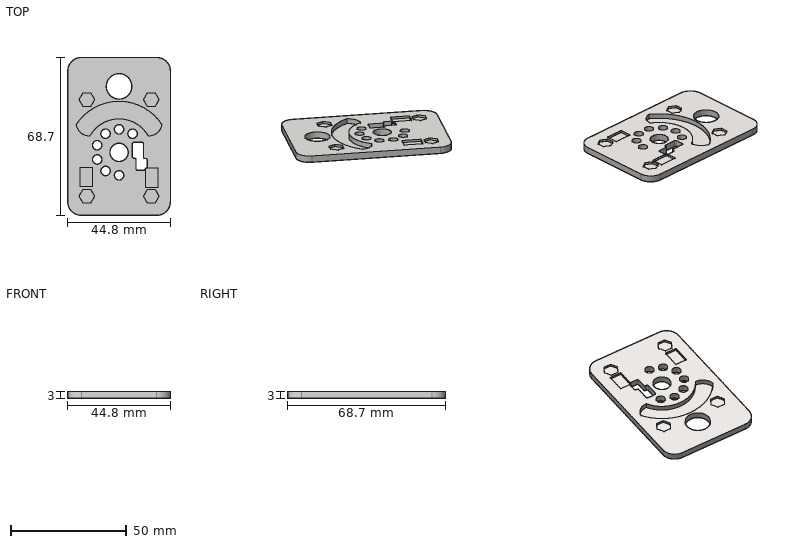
import cadquery as cq
import math

PLATE_WIDTH = 44.76
PLATE_LENGTH = 68.73
PLATE_THICKNESS = 3.0
CORNER_RADIUS = 6.0

DIAL_CENTRE_Y = -6.93
DIAL_HOLE_DIAMETER = 7.85
RING_HOLE_DIAMETER = 4.0
RING_RADIUS = 10.0
RING_HOLE_COUNT = 7
RING_START_ANGLE = 54.0
RING_STEP_ANGLE = 36.0

LARGE_HOLE_DIAMETER = 11.0
LARGE_HOLE_Y = 21.75

ARC_OUTER_RADIUS = 22.2
ARC_INNER_RADIUS = 14.55
ARC_OUTER_END_ANGLE = 33.0
ARC_INNER_END_ANGLE = 29.2
ARC_END_BULGE = 1.45
ARC_DEPTH = 2.25

HEX_ACROSS_FLATS = 5.9
HEX_SPACING_X = 28.0
HEX_SPACING_Y = 42.0
HEX_PATTERN_CENTRE_Y = -5.0
HEX_DEPTH = 1.0

RECESS_WIDTH = 5.5
RECESS_LENGTH = 8.4
RECESS_CENTRES = [(-14.2, -17.65), (14.2, -17.95)]
RECESS_DEPTH = 1.0

SLOT_WIDTH = 4.77
SLOT_LEFT = 5.8
SLOT_TOP = -2.6
SLOT_BOTTOM = -14.65
SLOT_SHIFT = 1.6
SLOT_LEFT_STEP_Y = -9.45
SLOT_RIGHT_STEP_Y = -9.65
SLOT_CORNER_RADIUS = 0.6
SLOT_CHAMFER = 1.3


def make_plate():
    plate = cq.Workplane("XY").box(PLATE_WIDTH, PLATE_LENGTH, PLATE_THICKNESS, centered=(True, True, False))
    return plate.edges("|Z").fillet(CORNER_RADIUS)


def pocket_floor(depth):
    """Workplane at the floor of a pocket of the given depth."""
    return cq.Workplane("XY").workplane(offset=PLATE_THICKNESS - depth)


def dial_point(radius, angle):
    """Point at a polar position about the dial centre."""
    turn = math.radians(angle)
    return (radius * math.cos(turn), DIAL_CENTRE_Y + radius * math.sin(turn))


def round_holes():
    ring_points = [
        dial_point(RING_RADIUS, RING_START_ANGLE + index * RING_STEP_ANGLE)
        for index in range(RING_HOLE_COUNT)
    ]
    base = cq.Workplane("XY")
    ring = base.pushPoints(ring_points).circle(RING_HOLE_DIAMETER / 2).extrude(PLATE_THICKNESS)
    dial = base.center(0, DIAL_CENTRE_Y).circle(DIAL_HOLE_DIAMETER / 2).extrude(PLATE_THICKNESS)
    large = base.center(0, LARGE_HOLE_Y).circle(LARGE_HOLE_DIAMETER / 2).extrude(PLATE_THICKNESS)
    return ring.union(dial).union(large)


def arc_pocket():
    outer_right = dial_point(ARC_OUTER_RADIUS, ARC_OUTER_END_ANGLE)
    outer_left = dial_point(ARC_OUTER_RADIUS, 180 - ARC_OUTER_END_ANGLE)
    inner_right = dial_point(ARC_INNER_RADIUS, ARC_INNER_END_ANGLE)
    inner_left = dial_point(ARC_INNER_RADIUS, 180 - ARC_INNER_END_ANGLE)
    return (
        pocket_floor(ARC_DEPTH)
        .moveTo(*outer_right)
        .threePointArc(dial_point(ARC_OUTER_RADIUS, 90), outer_left)
        .sagittaArc(inner_left, -ARC_END_BULGE)
        .threePointArc(dial_point(ARC_INNER_RADIUS, 90), inner_right)
        .sagittaArc(outer_right, -ARC_END_BULGE)
        .close()
        .extrude(ARC_DEPTH)
    )


def hex_pockets():
    across_corners = HEX_ACROSS_FLATS / math.cos(math.pi / 6)
    return (
        pocket_floor(HEX_DEPTH)
        .center(0, HEX_PATTERN_CENTRE_Y)
        .rarray(HEX_SPACING_X, HEX_SPACING_Y, 2, 2)
        .polygon(6, across_corners)
        .extrude(HEX_DEPTH)
    )


def rectangular_pockets():
    return (
        pocket_floor(RECESS_DEPTH)
        .pushPoints(RECESS_CENTRES)
        .rect(RECESS_WIDTH, RECESS_LENGTH)
        .extrude(RECESS_DEPTH)
    )


def stepped_slot():
    upper_right = SLOT_LEFT + SLOT_WIDTH
    lower_left = SLOT_LEFT + SLOT_SHIFT
    lower_right = upper_right + SLOT_SHIFT
    slot = (
        cq.Workplane("XY")
        .moveTo(SLOT_LEFT, SLOT_TOP)
        .lineTo(upper_right, SLOT_TOP)
        .lineTo(upper_right, SLOT_RIGHT_STEP_Y)
        .lineTo(lower_right, SLOT_RIGHT_STEP_Y)
        .lineTo(lower_right, SLOT_BOTTOM)
        .lineTo(lower_left, SLOT_BOTTOM)
        .lineTo(lower_left, SLOT_LEFT_STEP_Y)
        .lineTo(SLOT_LEFT, SLOT_LEFT_STEP_Y)
        .close()
        .extrude(PLATE_THICKNESS)
    )
    chamfered_corner = cq.selectors.NearestToPointSelector((lower_right, SLOT_BOTTOM, PLATE_THICKNESS / 2))
    rounded_corners = cq.selectors.SubtractSelector(cq.selectors.StringSyntaxSelector("|Z"), chamfered_corner)
    return slot.edges(rounded_corners).fillet(SLOT_CORNER_RADIUS).edges(chamfered_corner).chamfer(SLOT_CHAMFER)


result = (
    make_plate()
    .cut(round_holes())
    .cut(arc_pocket())
    .cut(hex_pockets())
    .cut(rectangular_pockets())
    .cut(stepped_slot())
)